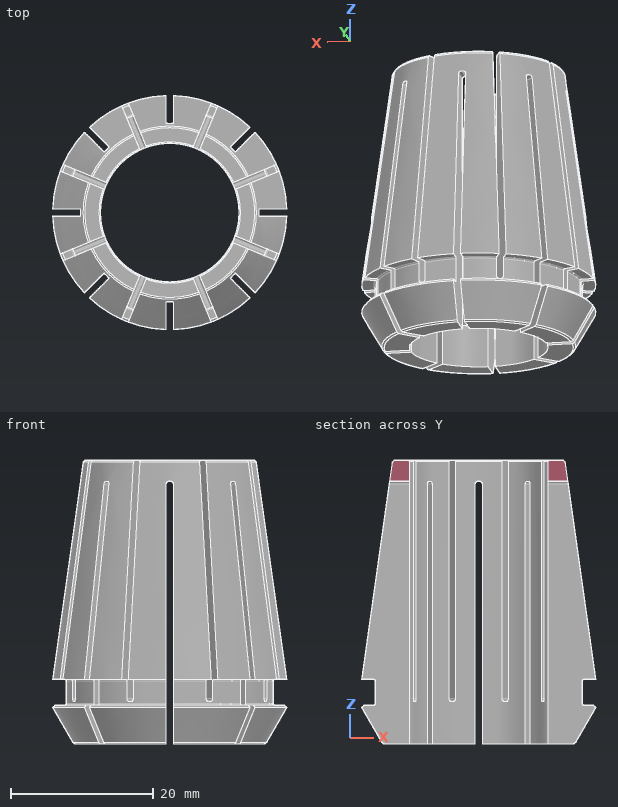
import cadquery as cq
import math

length = 40.0
max_radius = 16.5
bore_radius = 19.5 / 2
edge_chamfer = 0.2
top_chamfer_height = 0.3
top_chamfer_width = 0.2

taper_half_angle = 8.0
taper_bottom_z = 9.1

groove_radius = 14.6
groove_bottom_z = 5.5
groove_corner_radius = 0.2
flange_chamfer = 0.35
flange_half_angle = 30.0

slots_per_set = 8
slot_width = 1.0
slot_corner_radius = 0.4
bottom_slot_end_z = 37.0
top_slot_end_z = 6.0
slot_pitch = 360.0 / slots_per_set
overshoot = 1.0

flange_rim_z = groove_bottom_z - flange_chamfer
taper_slope = math.tan(math.radians(taper_half_angle))
flange_slope = math.tan(math.radians(flange_half_angle))
top_radius = max_radius - (length - taper_bottom_z) * taper_slope
chamfer_start_radius = top_radius + top_chamfer_height * taper_slope
bottom_radius = max_radius - flange_rim_z * flange_slope
chamfer_end_radius = bottom_radius + edge_chamfer * flange_slope


def collet_body():
    """Revolve the half section, in radius and height, about the Z axis."""
    fillet_radius = groove_radius + groove_corner_radius
    fillet_bulge = groove_corner_radius * (1 - math.sqrt(0.5))
    return (
        cq.Workplane("XZ")
        .moveTo(bore_radius, 0)
        .lineTo(bottom_radius - edge_chamfer, 0)
        .lineTo(chamfer_end_radius, edge_chamfer)
        .lineTo(max_radius, flange_rim_z)
        .lineTo(max_radius - flange_chamfer, groove_bottom_z)
        .lineTo(fillet_radius, groove_bottom_z)
        .threePointArc(
            (groove_radius + fillet_bulge, groove_bottom_z + fillet_bulge),
            (groove_radius, groove_bottom_z + groove_corner_radius),
        )
        .lineTo(groove_radius, taper_bottom_z - groove_corner_radius)
        .threePointArc(
            (groove_radius + fillet_bulge, taper_bottom_z - fillet_bulge),
            (fillet_radius, taper_bottom_z),
        )
        .lineTo(max_radius, taper_bottom_z)
        .lineTo(chamfer_start_radius, length - top_chamfer_height)
        .lineTo(top_radius - top_chamfer_width, length)
        .lineTo(bore_radius + edge_chamfer, length)
        .lineTo(bore_radius, length - edge_chamfer)
        .close()
        .revolve(360, (0, 0), (0, 1))
    )


def slot_cutter(open_z, end_z, angle):
    """Radial slot on one side of the axis, open at one face, with rounded corners at its closed end."""
    reach = max_radius + overshoot
    end_face = ">Z" if end_z > open_z else "<Z"
    return (
        cq.Workplane("XY")
        .box(reach, slot_width, abs(end_z - open_z), centered=(False, True, False))
        .translate((0, 0, min(open_z, end_z)))
        .faces(end_face)
        .edges("|X")
        .fillet(slot_corner_radius)
        .rotate((0, 0, 0), (0, 0, 1), angle)
    )


result = collet_body()
for index in range(slots_per_set):
    bottom_angle = index * slot_pitch
    top_angle = bottom_angle + slot_pitch / 2
    result = result.cut(slot_cutter(-overshoot, bottom_slot_end_z, bottom_angle))
    result = result.cut(slot_cutter(length + overshoot, top_slot_end_z, top_angle))